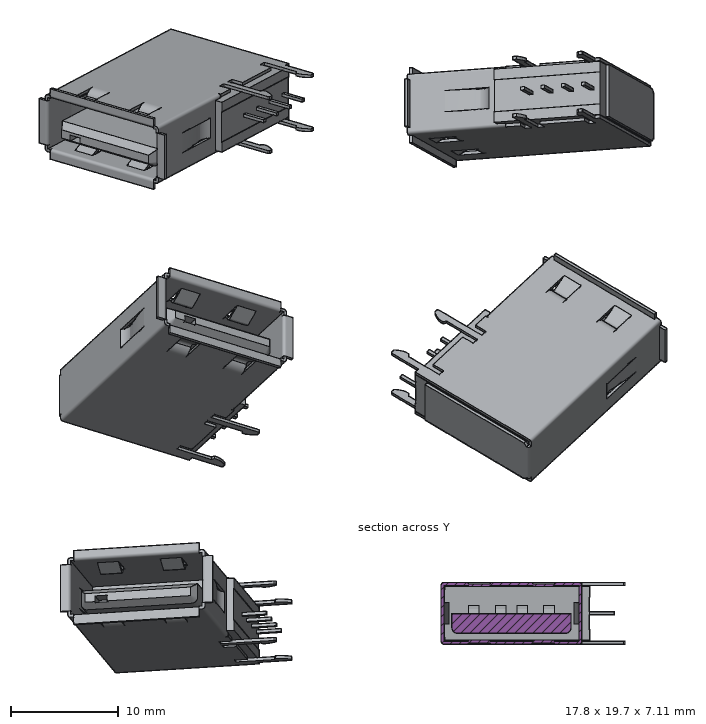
import cadquery as cq
import math


LENGTH = 19.7
HEIGHT = 7.11
FLANGE_SPAN = 14.5
REACH = 10.55

SHEET = 0.3
SHELL_WIDTH = 13.1
SHELL_HEIGHT = 5.75
SHELL_END = 19.33
HALF_WIDTH = SHELL_WIDTH / 2
HALF_HEIGHT = SHELL_HEIGHT / 2
INNER_HALF_WIDTH = HALF_WIDTH - SHEET
INNER_HALF_HEIGHT = HALF_HEIGHT - SHEET
RIGHT_WALL_END = 9.73

WIDE_FLANGE = 11.94
SIDE_FLANGE = 4.5

PANEL_RIGHT = 5.81
PANEL_HEIGHT = 4.92
PANEL_CHAMFER = 0.3
FOLD_RADIUS = 0.28

LEG_WIDTH = 0.65
LEG_CENTRE_Y = 15.35
LEG_PITCH = 6.32
LEG_INNER_EDGE = (LEG_PITCH - LEG_WIDTH) / 2
LEG_OUTER_EDGE = (LEG_PITCH + LEG_WIDTH) / 2
LEG_TIP_WIDTH = 0.43
LEG_TIP_BEVEL_LENGTH = 0.14
LEG_TIP_BEVEL_WIDTH = 0.08
LEG_ROOT_X = 5.32
LEG_SLOT = 0.63
BARB_START = 9.0
BARB_FLAT_START = 9.16
BARB_FLAT_END = 9.55
BARB_DEPTH = 0.28
BARB_BULGE = 0.05

INSERT_START = 8.88
INSERT_RIGHT = 7.29
INSERT_CLEARANCE = 0.05
RECESS_HEIGHT = 3.03
RECESS_DEPTH = 0.05

TONGUE_WIDTH = 11.1
TONGUE_TOP = -0.02
TONGUE_THICKNESS = 1.85
TONGUE_START = 0.53
TONGUE_CORNER = 0.55
TONGUE_BEVEL = 0.51
TONGUE_BEVEL_LENGTH = 0.79
NOTCH_LEFT = -4.05
NOTCH_WIDTH = 1.16
NOTCH_TOP = -0.8
NOTCH_FLOOR = -1.42
NOTCH_LENGTH = 1.58

CONTACT_CENTRES = (-3.49, -1.0, 1.0, 3.49)
CONTACT_WIDTH = 0.98
CONTACT_FRONT = 7.88
CONTACT_SHOULDER = 8.3
CONTACT_SHOULDER_RISE = 0.41
CONTACT_RISE = 0.77
TAIL_COUNT = 4
TAIL_FIRST_Y = 12.5
TAIL_PITCH = 2.0
TAIL_WIDTH = 0.35
TAIL_THICKNESS = 0.3
TAIL_END = 9.55

SPRING_WIDTH = 2.0
WIDE_SPRING_X = 3.0
WIDE_SPRING_FRONT = 1.22
WIDE_SPRING_LOW = 2.64
WIDE_SPRING_REAR = 3.92
WIDE_SPRING_DEPTH = 0.69
WIDE_SPRING_VALLEY_LENGTH = 0.37
WIDE_SPRING_VALLEY_RISE = 0.1
SIDE_SPRING_FRONT = 3.76
SIDE_SPRING_KNEE = 6.75
SIDE_SPRING_LOW = 7.11
SIDE_SPRING_REAR = 8.12
SIDE_SPRING_DEPTH = 0.45
SIDE_SPRING_KNEE_DEPTH = 0.4
SIDE_SPRING_RAMP_BULGE = 0.05
SIDE_SPRING_RETURN_SAG = 0.1


def block(x0, x1, y0, y1, z0, z1):
    return cq.Workplane("XY").box(x1 - x0, y1 - y0, z1 - z0, centered=False).translate((x0, y0, z0))


def four_sided_tube():
    outer = block(-HALF_WIDTH, HALF_WIDTH, 0, SHELL_END, -HALF_HEIGHT, HALF_HEIGHT)
    outer = outer.edges("|Y").fillet(SHEET)
    inner = block(-INNER_HALF_WIDTH, INNER_HALF_WIDTH, 0, SHELL_END, -INNER_HALF_HEIGHT, INNER_HALF_HEIGHT)
    return outer.cut(inner)


def open_right_wall(shell):
    """Remove the right wall behind its end, leaving the top and bottom plates."""
    gap = block(INNER_HALF_WIDTH, HALF_WIDTH, RIGHT_WALL_END, SHELL_END, -HALF_HEIGHT, HALF_HEIGHT)
    return shell.cut(gap)


def add_flange(shell, inner_face, tip, width, turn):
    """Flange standing out along +Z, with a rounded bend, turned about Y into place."""
    plate = block(-width / 2, width / 2, 0, SHEET, inner_face, tip)
    corner = block(-width / 2, width / 2, 0, SHEET, inner_face, inner_face + SHEET)
    bend = (
        cq.Workplane("YZ")
        .center(SHEET, inner_face + SHEET)
        .circle(SHEET)
        .extrude(width / 2, both=True)
    )
    axis = ((0, 0, 0), (0, 1, 0), turn)
    return shell.union(plate.rotate(*axis)).cut(corner.cut(bend).rotate(*axis))


def rear_panel():
    """Closing panel with the rounded fold that joins it to the left wall."""
    inner_face = LENGTH - SHEET
    half = PANEL_HEIGHT / 2
    panel = block(-INNER_HALF_WIDTH, PANEL_RIGHT, inner_face, LENGTH, -half, half)
    panel = panel.edges("|Y and <X").chamfer(PANEL_CHAMFER)
    fold_half = half - PANEL_CHAMFER
    fold = block(-HALF_WIDTH, -INNER_HALF_WIDTH, SHELL_END, LENGTH, -fold_half, fold_half)
    fold = fold.edges("|Z and <X and >Y").fillet(FOLD_RADIUS)
    return panel.union(fold)


def locking_leg():
    """Leg on the +Y side of the pair, with its barb facing the other leg."""
    return (
        cq.Workplane("XY")
        .moveTo(LEG_ROOT_X, LEG_OUTER_EDGE)
        .lineTo(REACH - LEG_TIP_BEVEL_LENGTH, LEG_OUTER_EDGE)
        .lineTo(REACH, LEG_OUTER_EDGE - LEG_TIP_BEVEL_WIDTH)
        .lineTo(REACH, LEG_OUTER_EDGE - LEG_TIP_WIDTH)
        .sagittaArc((BARB_FLAT_END, LEG_INNER_EDGE - BARB_DEPTH), BARB_BULGE)
        .lineTo(BARB_FLAT_START, LEG_INNER_EDGE - BARB_DEPTH)
        .lineTo(BARB_START, LEG_INNER_EDGE)
        .lineTo(LEG_ROOT_X, LEG_INNER_EDGE)
        .close()
        .extrude(SHEET)
    )


def add_legs(shell):
    """Square off the right edges of the top and bottom plates, slot them and add the legs."""
    edge_strip = block(INNER_HALF_WIDTH, HALF_WIDTH, RIGHT_WALL_END, SHELL_END, 0, SHEET)
    rear_tab = block(
        INNER_HALF_WIDTH, INSERT_RIGHT, LEG_CENTRE_Y + LEG_OUTER_EDGE, SHELL_END, 0, SHEET
    )
    leg = locking_leg()
    slot_starts = (LEG_INNER_EDGE - LEG_SLOT, -LEG_INNER_EDGE, -LEG_OUTER_EDGE - LEG_SLOT)
    for z in (INNER_HALF_HEIGHT, -HALF_HEIGHT):
        shell = shell.union(edge_strip.union(rear_tab).translate((0, 0, z)))
        for start in slot_starts:
            y = LEG_CENTRE_Y + start
            shell = shell.cut(block(LEG_ROOT_X, HALF_WIDTH, y, y + LEG_SLOT, z, z + SHEET))
        for each in (leg, leg.mirror("XZ")):
            shell = shell.union(each.translate((0, LEG_CENTRE_Y, z)))
    return shell


def wide_hollow():
    """Hollow above a wide-wall spring, sunk from a plate whose outer face is Z = 0."""
    low = -WIDE_SPRING_DEPTH
    valley_middle = WIDE_SPRING_LOW + WIDE_SPRING_VALLEY_LENGTH / 2
    valley_end = WIDE_SPRING_LOW + WIDE_SPRING_VALLEY_LENGTH
    valley_top = low + WIDE_SPRING_VALLEY_RISE
    run = WIDE_SPRING_REAR - valley_end
    radius = (run**2 + valley_top**2) / (-2 * valley_top)
    half_angle = math.asin(run / radius) / 2
    roll_middle = (WIDE_SPRING_REAR - radius * math.sin(half_angle), radius * (math.cos(half_angle) - 1))
    return (
        cq.Workplane("YZ")
        .moveTo(WIDE_SPRING_FRONT, 0)
        .lineTo(WIDE_SPRING_LOW, low)
        .threePointArc((valley_middle, low), (valley_end, valley_top))
        .threePointArc(roll_middle, (WIDE_SPRING_REAR, 0))
        .close()
        .extrude(SPRING_WIDTH / 2, both=True)
    )


def side_hollow():
    """Hollow above a side-wall spring, sunk from a plate whose outer face is Z = 0."""
    return (
        cq.Workplane("YZ")
        .moveTo(SIDE_SPRING_FRONT, 0)
        .sagittaArc((SIDE_SPRING_KNEE, -SIDE_SPRING_KNEE_DEPTH), SIDE_SPRING_RAMP_BULGE)
        .lineTo(SIDE_SPRING_LOW, -SIDE_SPRING_DEPTH)
        .sagittaArc((SIDE_SPRING_REAR, 0), -SIDE_SPRING_RETURN_SAG)
        .close()
        .extrude(SPRING_WIDTH / 2, both=True)
    )


def press_spring(shell, hollow, offset, level, turn):
    """Press a wall inwards: the hollow is emptied and its floor keeps the sheet thickness."""
    axis = ((0, 0, 0), (0, 1, 0), turn)
    floor = hollow.translate((offset, 0, level - SHEET)).rotate(*axis)
    return shell.union(floor).cut(hollow.translate((offset, 0, level)).rotate(*axis))


def insert():
    """Plastic block, clear of the plates above, below and to its left, held by the right wall."""
    left = -INNER_HALF_WIDTH + INSERT_CLEARANCE
    top = INNER_HALF_HEIGHT - INSERT_CLEARANCE
    body = block(left, INSERT_RIGHT, INSERT_START, SHELL_END, -top, top)
    wall_space = block(INNER_HALF_WIDTH, HALF_WIDTH, INSERT_START, RIGHT_WALL_END, -top, top)
    recess_half = RECESS_HEIGHT / 2
    recess = block(
        INSERT_RIGHT - RECESS_DEPTH, INSERT_RIGHT, INSERT_START, SHELL_END, -recess_half, recess_half
    )
    return body.cut(wall_space).cut(recess)


def tongue():
    """Bar with bevelled front edges and a small blind pocket in its front face."""
    half = TONGUE_WIDTH / 2
    bottom = TONGUE_TOP - TONGUE_THICKNESS
    bar = block(-half, half, TONGUE_START, INSERT_START, bottom, TONGUE_TOP)
    bar = bar.edges("|Y and <Z").fillet(TONGUE_CORNER)
    bar = bar.faces("<Y").chamfer(TONGUE_BEVEL, TONGUE_BEVEL_LENGTH)
    notch_right = NOTCH_LEFT + NOTCH_WIDTH
    notch_end = TONGUE_START + NOTCH_LENGTH
    notch = block(NOTCH_LEFT, notch_right, TONGUE_START, notch_end, NOTCH_FLOOR, NOTCH_TOP)
    return bar.cut(notch)


def contacts():
    """Sloping contact strips on top of the tongue, rising to the front of the insert."""
    strip = (
        cq.Workplane("YZ")
        .moveTo(CONTACT_FRONT, TONGUE_TOP)
        .lineTo(CONTACT_SHOULDER, TONGUE_TOP + CONTACT_SHOULDER_RISE)
        .lineTo(INSERT_START, TONGUE_TOP + CONTACT_RISE)
        .lineTo(INSERT_START, TONGUE_TOP)
        .close()
        .extrude(CONTACT_WIDTH / 2, both=True)
    )
    row = cq.Workplane("XY")
    for x in CONTACT_CENTRES:
        row = row.union(strip.translate((x, 0, 0)))
    return row


def tails():
    """Row of solder tails standing out of the insert along +X."""
    half_width = TAIL_WIDTH / 2
    half_thickness = TAIL_THICKNESS / 2
    root = INSERT_RIGHT - RECESS_DEPTH
    row = cq.Workplane("XY")
    for i in range(TAIL_COUNT):
        y = TAIL_FIRST_Y + i * TAIL_PITCH
        row = row.union(block(root, TAIL_END, y - half_width, y + half_width, -half_thickness, half_thickness))
    return row


shell = open_right_wall(four_sided_tube())
for turn in (0, 180):
    shell = add_flange(shell, INNER_HALF_HEIGHT, HEIGHT / 2, WIDE_FLANGE, turn)
    shell = add_flange(shell, INNER_HALF_WIDTH, FLANGE_SPAN / 2, SIDE_FLANGE, turn + 90)
shell = add_legs(shell)
for turn in (0, 180):
    for x in (-WIDE_SPRING_X, WIDE_SPRING_X):
        shell = press_spring(shell, wide_hollow(), x, HALF_HEIGHT, turn)
    shell = press_spring(shell, side_hollow(), 0, HALF_WIDTH, turn + 90)
shell = shell.union(rear_panel())

result = shell.union(insert()).union(tongue()).union(contacts()).union(tails())